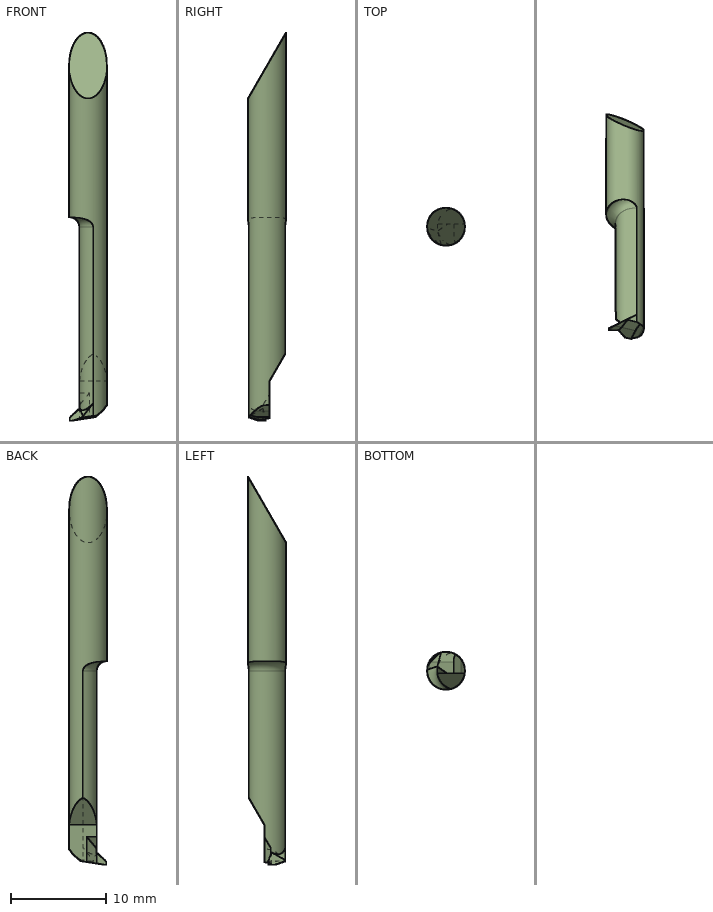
import cadquery as cq
import math

length = 40.7
radius = 2.0
end_slope = math.radians(30)
neck_offset = 1.05
step_z = 21.35
neck_fillet = 0.98

flat_y = 0.3
flat_top_z = 4.2

nose_tip = (-1.87, -0.15, 0.35)
nose_root = (-0.9, -0.5, 1.3)
nose_heel = (-0.53, -1.87, 0.53)
nose_reach = 1.9
foot_front_y = -1.9

groove_depth_y = -0.45
groove_root_x = -0.95
groove_edge_y = -0.12
groove_right_x = 0.12
groove_ramp_z = 1.65

low_point_x = -1.75
underside_tilt = 8.7
relief_start_y = -0.95
relief_rise = 0.2
corner_points = [(0.8, 0.45), (1.55, 1.05), (2.0, 1.65)]

reach = 3 * radius


def prism_along_x(points):
    """Prism through the whole width from a (Y, Z) outline."""
    return cq.Workplane("YZ").polyline(points).close().extrude(reach, both=True)


def prism_along_y(points):
    """Prism through the whole depth from an (X, Z) outline."""
    return cq.Workplane("XZ").polyline(points).close().extrude(reach, both=True)


def make_shank():
    """Round bar whose top slopes down from +Y to -Y."""
    low_side_z = length - 2 * radius / math.tan(end_slope)
    bar = cq.Workplane("XY").circle(radius).extrude(length)
    above_slope = prism_along_x([(-radius, low_side_z), (radius, length), (radius, length + reach),
                                 (-reach, length + reach), (-reach, low_side_z)])
    return bar.cut(above_slope)


def make_neck():
    """Offset cylinder that flares into the step with a concave fillet."""
    return (
        cq.Workplane("XZ")
        .moveTo(0, -reach)
        .lineTo(radius, -reach)
        .lineTo(radius, step_z - neck_fillet)
        .radiusArc((radius + neck_fillet, step_z), neck_fillet)
        .lineTo(0, step_z)
        .close()
        .revolve(360, (0, 0, 0), (0, 1, 0))
        .translate((neck_offset, 0, 0))
    )


def make_foot_space():
    """Space under the sloping upper face of the nose."""
    root = cq.Vector(*nose_root)
    normal = (cq.Vector(*nose_heel) - root).cross(cq.Vector(*nose_tip) - root)
    if normal.z < 0:
        normal = normal * -1
    face = cq.Plane(origin=nose_root, xDir=(1, 0, -normal.x / normal.z), normal=normal.toTuple())
    space = cq.Workplane(face).rect(4 * reach, 4 * reach).extrude(-2 * reach)
    limit = cq.Workplane("XY").box(2 * reach, 2 * reach, 2 * reach, centered=(False, False, True))
    return space.intersect(limit.translate((-nose_reach, foot_front_y, 0)))


def make_flat_cut():
    """Removes the +Y side of the cutting end, with a sloping run-out."""
    run_out_z = flat_top_z + (reach - flat_y) / math.tan(end_slope)
    return prism_along_x([(flat_y, -reach), (flat_y, flat_top_z), (reach, run_out_z), (reach, -reach)])


def make_chip_groove():
    """V-shaped groove along Z that runs out of the flat on a slope."""
    edge_slope = (groove_edge_y - groove_depth_y) / (groove_root_x + nose_reach)
    far_y = groove_edge_y + edge_slope * (reach - nose_reach)
    section = [(-reach, far_y), (groove_root_x, groove_depth_y), (groove_right_x, flat_y),
               (groove_right_x, reach), (-reach, reach)]
    groove = cq.Workplane("XY").workplane(offset=-reach).polyline(section).close().extrude(3 * reach)
    run_out_z = groove_ramp_z + (reach - groove_depth_y) / math.tan(end_slope)
    limit = prism_along_x([(-reach, -reach), (-reach, groove_ramp_z), (groove_depth_y, groove_ramp_z),
                           (reach, run_out_z), (reach, -reach)])
    return groove.intersect(limit)


def make_underside_cut():
    """Tilted underside with a steeper relief towards -Y."""
    slope = relief_rise / (radius + relief_start_y)
    outer_z = slope * (reach + relief_start_y)
    return (
        prism_along_x([(-reach, outer_z), (relief_start_y, 0), (reach, 0), (reach, -reach), (-reach, -reach)])
        .rotate((0, 0, 0), (0, 1, 0), -underside_tilt)
        .translate((low_point_x, 0, 0))
    )


def make_corner_cut():
    """Bevels the lower +X corner in two steps."""
    return prism_along_y(corner_points + [(reach, corner_points[-1][1]), (reach, -reach),
                                          (corner_points[0][0], -reach)])


def make_nose_side():
    """Space on the -X side of the vertical joint through the nose root and heel."""
    x_per_y = (nose_heel[0] - nose_root[0]) / (nose_heel[1] - nose_root[1])
    front_x = nose_root[0] + x_per_y * (-reach - nose_root[1])
    back_x = nose_root[0] + x_per_y * (reach - nose_root[1])
    outline = [(front_x, -reach), (back_x, reach), (-reach, reach), (-reach, -reach)]
    return cq.Workplane("XY").workplane(offset=-reach).polyline(outline).close().extrude(2 * reach)


def trim_cutting_end(blank):
    """Applies every cut of the cutting end."""
    return (
        blank.cut(make_flat_cut())
        .cut(make_chip_groove())
        .cut(make_underside_cut())
        .cut(make_corner_cut())
    )


shank = make_shank()
upper_space = cq.Workplane("XY").workplane(offset=step_z).circle(reach).extrude(length)
foot = shank.intersect(make_foot_space())

nose = trim_cutting_end(foot.intersect(make_nose_side()))

bar_blank = shank.intersect(upper_space).union(shank.intersect(make_neck())).union(foot)
bar = trim_cutting_end(bar_blank).cut(nose)

result = cq.Compound.makeCompound([bar.solids().val(), nose.solids().val()])